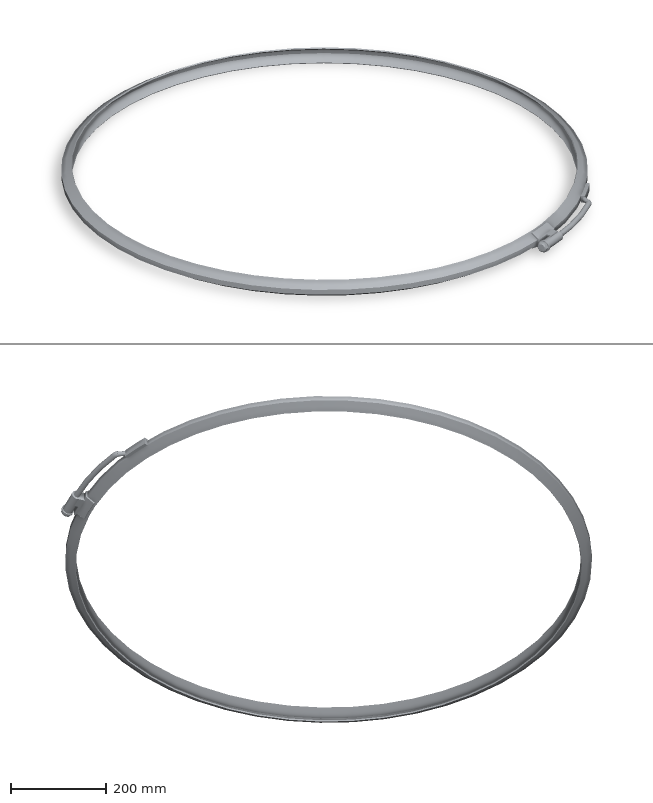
import cadquery as cq
import math

overall_length = 1136.0

ring_diameter = 1105.0
ring_height = 37.0
lip_radius = 532.0
web_height = 11.0
sheet = 2.8

joint_angle = -2.1
cover_length = 59.0
cover_thickness = 3.0

barrel_diameter = 22.0
barrel_top = 20.0
barrel_bottom = -33.0
base_thickness = 5.0
base_sink = 2.0
neck_length = 25.0
clamp_height = 20.0
slot_width = 2.0
slot_length = 34.0

flange_diameter = 26.0
flange_thickness = 5.0
nut_width = 20.0
nut_height = 9.0
nut_chamfer = 3.0

bolt_diameter = 12.0
bend_radius = 477.0
bend_angle = 19.0
elbow_radius = 11.0
elbow_angle = 42.0

anchor_thickness = 8.0
anchor_height = 16.0
anchor_start_angle = 17.6
anchor_end_angle = 23.8
stub_diameter = 10.1
stub_length = 16.0

ring_radius = ring_diameter / 2
gap_angle = -2 * joint_angle
cover_angle = math.degrees(cover_length / ring_radius)
cover_radius = ring_radius + cover_thickness
base_radius = cover_radius - base_sink
flange_slope = math.atan2((ring_height - web_height) / 2, ring_radius - lip_radius)
joint_turn = math.radians(joint_angle)

flange_reach = overall_length - ring_radius
bolt_radius = (
    (flange_reach + barrel_bottom * math.sin(joint_turn)) / math.cos(joint_turn) - flange_diameter / 2
)
bolt_tip = barrel_bottom - flange_thickness - nut_height


def polar(center, radius, angle):
    """Point in the XY plane at a radius and an angle from a center."""
    turn = math.radians(angle)
    return (center[0] + radius * math.cos(turn), center[1] + radius * math.sin(turn))


bend_center = (bolt_radius - bend_radius, barrel_top)
elbow_center = polar(bend_center, bend_radius - elbow_radius, bend_angle)
elbow_end_angle = bend_angle + elbow_angle
bolt_end = polar(elbow_center, elbow_radius, elbow_end_angle)


def turn_about_axis(shape, angle):
    """Turn a shape about the ring axis."""
    return shape.rotate((0, 0, 0), (0, 0, 1), angle)


def sector(section, start_angle, end_angle):
    """Revolve an XZ section about the ring axis between two angles."""
    return turn_about_axis(section.revolve(end_angle - start_angle, (0, 0, 0), (0, 1, 0)), start_angle)


def channel(offset, thickness):
    """V-channel section whose outer side lies at an offset from that of the ring."""
    lip = (lip_radius + offset / math.sin(flange_slope), ring_height / 2)
    corner_rise = math.tan((math.pi / 2 - flange_slope) / 2)
    corner = (ring_radius + offset, web_height / 2 + offset * corner_rise)
    inner_corner = (corner[0] - thickness, corner[1] - thickness * corner_rise)
    inner_lip = (
        lip[0] - thickness * math.sin(flange_slope),
        lip[1] - thickness * math.cos(flange_slope),
    )
    upper = [inner_corner, inner_lip, lip, corner]
    lower = [(r, -z) for r, z in reversed(upper)]
    return cq.Workplane("XZ").polyline(upper + lower).close()


def along_bolt(start, diameter, length):
    """Cylinder on the straight bolt axis, from a place along Y towards -Y."""
    return cq.Workplane("XZ", origin=(bolt_radius, start, 0)).circle(diameter / 2).extrude(length)


def make_retainer():
    return sector(channel(0, sheet), 0, 360 - gap_angle)


def clamp_block(length, depth):
    """Block outwards from the web of the cover, from the top of the barrel towards -Y."""
    return (
        cq.Workplane("XY", origin=(base_radius, barrel_top, 0))
        .box(depth, length, clamp_height, centered=(False, True, True))
        .translate((0, -length / 2, 0))
    )


def make_cover():
    edge = cover_angle / 2
    shell = sector(channel(cover_thickness, cover_thickness), joint_angle - edge, joint_angle + edge)
    filler = sector(channel(0, sheet), -gap_angle, 0)

    barrel_length = barrel_top - barrel_bottom
    barrel = along_bolt(barrel_top, barrel_diameter, barrel_length)
    base = clamp_block(barrel_length, base_thickness)
    neck = clamp_block(neck_length, bolt_radius - base_radius)
    bore = along_bolt(barrel_top, bolt_diameter, barrel_length)
    slot = (
        cq.Workplane("XY", origin=(bolt_radius, barrel_top - slot_length / 2, 0))
        .box(slot_width, slot_length, barrel_diameter, centered=(True, True, False))
    )
    clamp = barrel.union(base).union(neck).cut(bore).cut(slot)
    return shell.union(filler).union(turn_about_axis(clamp, joint_angle))


def make_nut():
    flange = along_bolt(barrel_bottom, flange_diameter, flange_thickness)
    corner_diameter = nut_width / math.cos(math.pi / 6)
    hexagon = (
        cq.Workplane("XZ", origin=(bolt_radius, barrel_bottom - flange_thickness, 0))
        .polygon(6, corner_diameter)
        .extrude(nut_height)
    )
    envelope = along_bolt(barrel_bottom, corner_diameter, flange_thickness + nut_height)
    envelope = envelope.faces("<Y").chamfer(nut_chamfer)
    bore = along_bolt(barrel_bottom, bolt_diameter, flange_thickness + nut_height)
    nut = hexagon.intersect(envelope).union(flange).cut(bore)
    return turn_about_axis(nut, joint_angle)


def make_bolt():
    path = (
        cq.Workplane("XY")
        .moveTo(bolt_radius, bolt_tip)
        .lineTo(bolt_radius, barrel_top)
        .threePointArc(
            polar(bend_center, bend_radius, bend_angle / 2),
            polar(bend_center, bend_radius, bend_angle),
        )
        .threePointArc(
            polar(elbow_center, elbow_radius, bend_angle + elbow_angle / 2),
            bolt_end,
        )
    )
    section = cq.Workplane("XZ", origin=(bolt_radius, bolt_tip, 0)).circle(bolt_diameter / 2)
    return turn_about_axis(section.sweep(path), joint_angle)


def make_anchor():
    plate_section = (
        cq.Workplane("XZ")
        .moveTo(ring_radius + anchor_thickness / 2, 0)
        .rect(anchor_thickness, anchor_height)
    )
    plate = sector(plate_section, anchor_start_angle, anchor_end_angle)
    stub_direction = (*polar((0, 0), 1, elbow_end_angle + 90), 0)
    stub_plane = cq.Plane(origin=(*bolt_end, 0), xDir=(0, 0, 1), normal=stub_direction)
    stub = cq.Workplane(stub_plane).circle(stub_diameter / 2).extrude(stub_length)
    return plate.union(turn_about_axis(stub, joint_angle))


retainer = make_retainer()
cover = make_cover()
nut = make_nut()
bolt = make_bolt()
anchor = make_anchor()

result = cq.Compound.makeCompound(
    [retainer.val(), cover.val(), nut.val(), bolt.val(), anchor.val()]
)